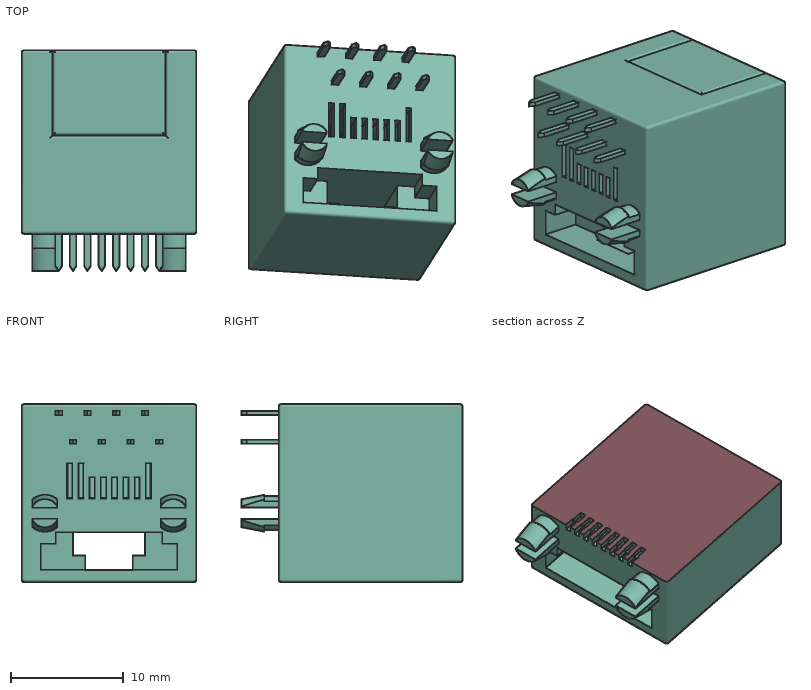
import cadquery as cq
import math

body_width = 15.5
body_depth = 16.3
body_height = 15.8
edge_radius = 0.25
overall_depth = 19.6
projection = overall_depth - body_depth

panel_half_width = 5.0
panel_front = 8.75
groove_gap = 0.04
groove_depth = 0.49

recess_depth = 3.5
recess_floor = -6.8
recess_shoulder = -4.5
recess_ceiling = -3.49
recess_wide_half = 6.04
recess_narrow_half = 4.72

passage_wide_half = 3.18
passage_narrow_half = 2.1
passage_step = -5.5
notch_start = 2.69
notch_drop = 0.4

slot_count = 8
slot_pitch = 1.0
slot_width = 0.47
slot_bottom = -0.49
slot_tall_top = 2.65
slot_short_top = 1.41
tall_slots = (0, 1, 7)
slot_depth = 0.98

channel_pitch = 0.98
channel_bottom = -0.41
channel_end = 1.96
channel_back_tilt = 7.0

peg_x = 5.68
peg_z = -1.78
peg_half_width = 1.12
peg_slit = 0.98
peg_shank_radius = 1.53
peg_barb_radius = 1.65
peg_tip_radius = 1.25
peg_shank_length = 1.27

pin_count = 8
pin_pitch = 1.27
pin_width = 0.6
pin_thickness = 0.37
pin_point_length = 0.47
pin_seat_depth = 1.96
pin_upper_z = 7.1
pin_row_spacing = 2 * pin_pitch


def spread(count, pitch):
    """Positions of `count` items spaced evenly about zero."""
    return [(i - (count - 1) / 2) * pitch for i in range(count)]


def box(x_min, x_max, y_min, y_max, z_min, z_max):
    """Box between two opposite corners."""
    size = (x_max - x_min, y_max - y_min, z_max - z_min)
    return cq.Workplane("XY").box(*size, centered=False).translate((x_min, y_min, z_min))


def make_shell():
    """Block with the panel groove, all outer edges and both groove rims rounded."""
    block = cq.Workplane("XY").box(body_width, body_depth, body_height)
    block = block.translate((0, body_depth / 2, 0))
    top = body_height / 2
    outer_half = panel_half_width + groove_gap / 2
    inner_half = panel_half_width - groove_gap / 2
    outer_front = panel_front - groove_gap / 2
    inner_front = panel_front + groove_gap / 2
    groove_floor = top - groove_depth
    groove = box(-outer_half, outer_half, outer_front, body_depth, groove_floor, top)
    groove = groove.cut(box(-inner_half, inner_half, inner_front, body_depth, groove_floor, top))
    grooved = block.cut(groove)
    top_edges = grooved.faces(">Z").edges().vals()
    outline = grooved.faces("<Z or <X or >X or <Y").edges().vals()
    lower_edges = [edge for edge in outline if edge.Center().z < top - edge_radius / 2]
    return grooved.newObject(top_edges + lower_edges).fillet(edge_radius)


def make_recess():
    """Stepped front recess and the passage that continues to the rear face."""
    wide = box(-recess_wide_half, recess_wide_half, 0, recess_depth, recess_floor, recess_shoulder)
    narrow = box(-recess_narrow_half, recess_narrow_half, 0, recess_depth, recess_floor, recess_ceiling)
    passage = box(-passage_wide_half, passage_wide_half, 0, body_depth, passage_step, recess_ceiling)
    notch = box(-passage_narrow_half, passage_narrow_half, notch_start, body_depth,
                recess_floor - notch_drop, passage_step)
    return wide.union(narrow).union(passage).union(notch)


def make_slot(x, channel_x, top):
    """Contact slot and the channel behind it, whose rear wall leans back towards its upper end."""
    half = slot_width / 2
    slot = box(x - half, x + half, 0, slot_depth, slot_bottom, top)
    back_shift = (top - channel_bottom) * math.tan(math.radians(channel_back_tilt))
    side = [
        (slot_depth, channel_bottom),
        (channel_end, channel_bottom),
        (channel_end + back_shift, top),
        (slot_depth, top),
    ]
    channel = cq.Workplane("YZ").polyline(side).close().extrude(half, both=True)
    return slot.union(channel.translate((channel_x, 0, 0)))


def make_peg(x):
    """Barbed round peg with flat sides, split by a horizontal slit."""
    profile = [
        (0, 0),
        (0, peg_shank_radius),
        (-peg_shank_length, peg_shank_radius),
        (-peg_shank_length, peg_barb_radius),
        (-projection, peg_tip_radius),
        (-projection, 0),
    ]
    peg = cq.Workplane("YZ").polyline(profile).close().revolve(360, (0, 0, 0), (1, 0, 0))
    flats = box(-peg_half_width, peg_half_width, -projection, 0, -peg_barb_radius, peg_barb_radius)
    slit = box(-peg_half_width, peg_half_width, -projection, 0, -peg_slit / 2, peg_slit / 2)
    return peg.intersect(flats).cut(slit).translate((x, 0, peg_z))


def make_housing(pins):
    """Housing with recess, slots and pegs, and a matching seat for every pin."""
    body = make_shell().cut(make_recess())
    slot_places = zip(spread(slot_count, slot_pitch), spread(slot_count, channel_pitch))
    for i, (x, channel_x) in enumerate(slot_places):
        top = slot_tall_top if i in tall_slots else slot_short_top
        body = body.cut(make_slot(x, channel_x, top))
    for x in (-peg_x, peg_x):
        body = body.union(make_peg(x))
    for pin in pins:
        body = body.cut(pin)
    return body


def make_pin(x, z):
    """Flat solder pin with a pointed tip, seated in the front wall."""
    half = pin_width / 2
    outline = [
        (-half, pin_seat_depth),
        (half, pin_seat_depth),
        (half, pin_point_length - projection),
        (0, -projection),
        (-half, pin_point_length - projection),
    ]
    flat = cq.Workplane("XY").polyline(outline).close().extrude(pin_thickness / 2, both=True)
    return flat.translate((x, 0, z))


pins = [
    make_pin(x, pin_upper_z - (i % 2) * pin_row_spacing)
    for i, x in enumerate(spread(pin_count, pin_pitch))
]
housing = make_housing(pins)

result = cq.Compound.makeCompound([housing.val(), *[pin.val() for pin in pins]])